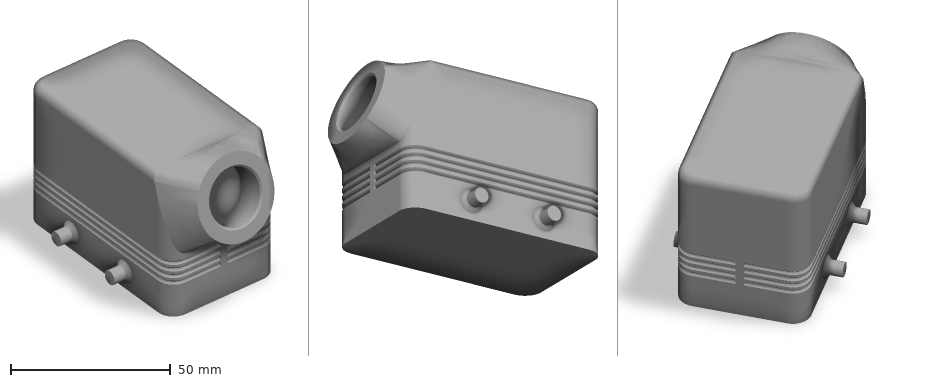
import cadquery as cq
import math

overall_length = 83.5
pin_span = 55.0

body_length = 73.05
body_width = 43.2
body_height = 52.0
corner_radius = 6.0
top_fillet = 3.1

outlet_tilt = 17.5
outlet_foot_height = 23.55
bore_diameter = 21.0
bore_chamfer = 0.7

groove_count = 4
groove_pitch = 2.5
groove_depth = 0.75
groove_mouth = 2 * groove_depth
lowest_groove_height = 12.9
groove_gap = 2.7

pin_diameter = 5.0
pin_foot_diameter = 8.0
pin_foot_length = 1.3
pin_height = 6.4
first_pin_x = 23.0
pin_spacing = 27.05

tilt = math.radians(outlet_tilt)
outlet_axis = cq.Vector(math.cos(tilt), 0, math.sin(tilt))
outlet_length = (overall_length - body_length) / math.cos(tilt)
outlet_rise = body_height - outlet_foot_height
outlet_radius = outlet_rise / math.cos(tilt) / 2
section_centre = cq.Vector(
    body_length - outlet_rise * math.tan(tilt) / 2,
    0,
    outlet_foot_height + outlet_rise / 2,
)
mouth_centre = section_centre + outlet_axis * outlet_length


def make_body():
    """Rounded block whose upper +X end is cut off square to the outlet axis."""
    block = (
        cq.Workplane("XY", origin=(body_length / 2, 0, 0))
        .rect(body_length, body_width)
        .extrude(body_height)
        .edges("|Z")
        .fillet(corner_radius)
        .faces(">Z")
        .edges()
        .fillet(top_fillet)
    )
    cut_plane = cq.Plane(origin=section_centre, xDir=(0, 1, 0), normal=outlet_axis)
    cut_size = 2 * body_height
    waste = cq.Workplane(cut_plane).rect(cut_size, cut_size).extrude(cut_size)
    return block.cut(waste)


def make_outlet(body):
    """Ruled neck from the tilted section of the body to the round mouth."""
    section = body.faces(cq.selectors.DirectionMinMaxSelector(outlet_axis, True)).val()

    def to_mouth(point):
        """Move a section point radially onto the mouth circle."""
        return mouth_centre + (point - section_centre).normalized() * outlet_radius

    outline = section.outerWire()
    arcs = []
    for edge in outline.Edges():
        places = [edge.startPoint(), edge.positionAt(0.5), edge.endPoint()]
        arcs.append(cq.Edge.makeThreePointArc(*[to_mouth(point) for point in places]))
    mouth = cq.Wire.assembleEdges(arcs)
    return cq.Workplane(cq.Solid.makeLoft([outline, mouth], True))


def make_bore():
    """Round bore as deep as the outlet neck, chamfered at the mouth."""
    radius = bore_diameter / 2
    inner_radius = radius - bore_chamfer
    straight = cq.Solid.makeCylinder(inner_radius, outlet_length, mouth_centre, outlet_axis * -1)
    lead_in = cq.Solid.makeCone(radius, inner_radius, bore_chamfer, mouth_centre, outlet_axis * -1)
    return cq.Workplane(straight.fuse(lead_in))


def make_groove(body, height):
    """V groove around the body at one height, left out mid-way on both ends."""
    inset = body_width / 2 - groove_depth
    half_mouth = groove_mouth / 2
    profile = [
        (-body_width / 2, height - half_mouth),
        (-inset, height),
        (-body_width / 2, height + half_mouth),
    ]
    path = body.faces("<Z").wires().translate((0, 0, height))
    ring = cq.Workplane("YZ", origin=(body_length / 2, 0, 0)).polyline(profile).close().sweep(path)
    middle = cq.Workplane("XY", origin=(body_length / 2, 0, height))
    plain_strip = middle.box(2 * body_length, groove_gap, 2 * groove_mouth)
    return ring.cut(plain_strip)


def make_pin(x, side):
    """Locking pin with a conical foot; side is -1 or +1 along Y."""
    outward = cq.Vector(0, side, 0)
    base = cq.Vector(x, side * body_width / 2, pin_height)
    root = cq.Vector(x, 0, pin_height)
    shank = cq.Solid.makeCylinder(pin_diameter / 2, pin_span / 2, root, outward)
    foot = cq.Solid.makeCone(pin_foot_diameter / 2, pin_diameter / 2, pin_foot_length, base, outward)
    return cq.Workplane(shank.fuse(foot))


body = make_body()
result = body.union(make_outlet(body)).cut(make_bore())

for groove_index in range(groove_count):
    groove_height = lowest_groove_height + groove_index * groove_pitch
    result = result.cut(make_groove(body, groove_height))

for pin_x in (first_pin_x, first_pin_x + pin_spacing):
    for pin_side in (-1, 1):
        result = result.union(make_pin(pin_x, pin_side))